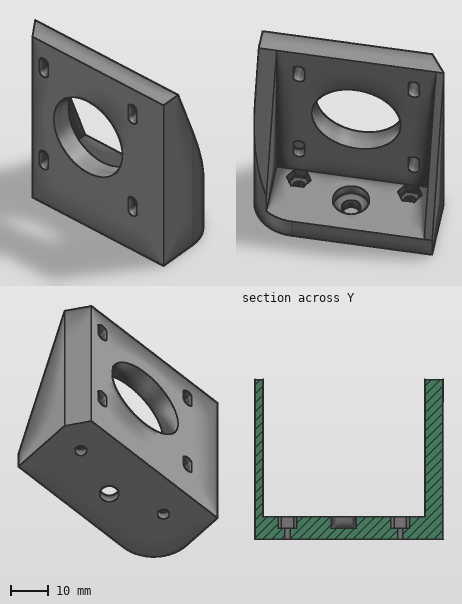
import cadquery as cq

width = 50.0
depth = 24.0
height = 54.0

plate_thickness = 6.0
chamfer_width = 4.15
chamfer_depth = plate_thickness
base_thickness = 6.0
rib_rear_height = base_thickness
left_rib_thickness = 2.15
right_rib_thickness = 4.85
rear_corner_radius = 12.0

bore_diameter = 24.0
bore_x = 23.65
bore_z = 30.0
slot_pitch = 31.0
slot_width = 3.1
slot_length = 6.15
web_thickness = 0.2

rod_hole_diameter = 5.1
rod_recess_diameter = 9.7
rod_hole_y = 13.95
screw_hole_diameter = 3.1
screw_pitch = 29.95
screw_hole_y = 8.9
nut_across_corners = 6.5
recess_depth = base_thickness / 2


def make_body():
    """Block with a sloped back, a chamfered front corner and a rounded rear corner."""
    footprint = (
        cq.Workplane("XY")
        .moveTo(chamfer_width, 0)
        .lineTo(width, 0)
        .lineTo(width, depth - rear_corner_radius)
        .radiusArc((width - rear_corner_radius, depth), -rear_corner_radius)
        .lineTo(0, depth)
        .lineTo(0, chamfer_depth)
        .close()
        .extrude(height)
    )
    side_profile = (
        cq.Workplane("YZ")
        .polyline([(0, 0), (depth, 0), (depth, rib_rear_height), (chamfer_depth, height), (0, height)])
        .close()
        .extrude(width)
    )
    return footprint.intersect(side_profile)


def make_cavity():
    """Space between the two ribs, behind the plate and above the base."""
    cavity_width = width - left_rib_thickness - right_rib_thickness
    return cq.Workplane("XY").box(
        cavity_width, depth, height, centered=False
    ).translate((left_rib_thickness, plate_thickness, base_thickness))


def plate_sketch(y):
    """Workplane facing +Y, centred on the bore axis; its local X points to -X."""
    return cq.Workplane("XZ", origin=(bore_x, y, bore_z)).transformed(rotate=(0, 180, 0))


def make_plate_cutouts():
    """Central bore and four upright slots through the plate."""
    bore = plate_sketch(0).circle(bore_diameter / 2).extrude(plate_thickness)
    slots = (
        plate_sketch(0)
        .rect(slot_pitch, slot_pitch, forConstruction=True)
        .vertices()
        .slot2D(slot_length, slot_width, 90)
        .extrude(plate_thickness)
    )
    return bore.union(slots)


def make_slot_web():
    """Thin round web closing the upper end of the lower right slot at the back of the plate."""
    web_z = (slot_length - slot_width - slot_pitch) / 2
    return (
        plate_sketch(plate_thickness - web_thickness)
        .center(-slot_pitch / 2, web_z)
        .circle(slot_width / 2)
        .extrude(web_thickness)
    )


def make_base_cutouts():
    """Counterbored rod hole and two screw holes with hexagonal nut pockets."""
    recess_floor = base_thickness - recess_depth
    cutouts = (
        cq.Workplane("XY", origin=(bore_x, rod_hole_y, 0))
        .circle(rod_hole_diameter / 2)
        .extrude(base_thickness)
        .faces(">Z")
        .workplane(offset=-recess_depth)
        .circle(rod_recess_diameter / 2)
        .extrude(recess_depth)
    )
    for side in (-1, 1):
        screw_x = bore_x + side * screw_pitch / 2
        screw = cq.Workplane("XY", origin=(screw_x, screw_hole_y, 0))
        cutouts = cutouts.union(screw.circle(screw_hole_diameter / 2).extrude(base_thickness))
        nut = screw.workplane(offset=recess_floor).polygon(6, nut_across_corners).extrude(recess_depth)
        cutouts = cutouts.union(nut)
    return cutouts


result = (
    make_body()
    .cut(make_cavity())
    .cut(make_plate_cutouts())
    .union(make_slot_web())
    .cut(make_base_cutouts())
)